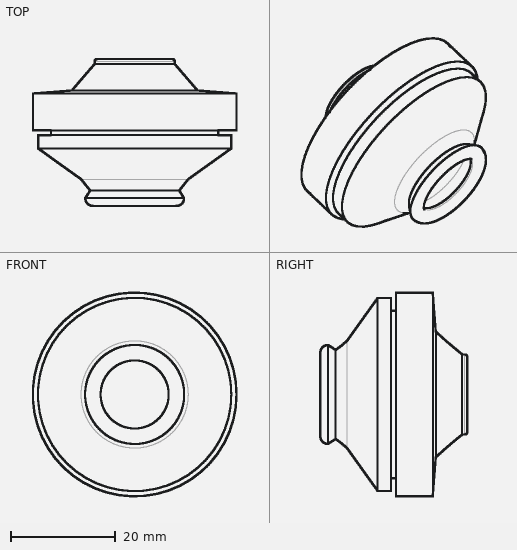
import cadquery as cq

bead_radius = 1.5
bead_center_radius = 8.0
bead_inner_radius = bead_center_radius - bead_radius
bead_outer_radius = bead_center_radius + bead_radius

neck_radius = 8.55
collar_radius = 10.25
front_rim_radius = 18.5
groove_radius = 16.03
rim_radius = 19.5
back_cone_radius = 12.0
cap_radius = 7.7
cap_fillet = 0.5

neck_y = 2.95
collar_y = 5.1
front_rim_y = 11.0
front_rim_width = 2.57
groove_width = 0.9
rim_width = 7.05
back_face_rise = 0.6
cap_height = 0.98
length = 28.1
groove_front_y = front_rim_y + front_rim_width
groove_back_y = groove_front_y + groove_width
rim_back_y = groove_back_y + rim_width
back_cone_y = rim_back_y + back_face_rise
cap_y = length - cap_height

throat_y = 2.0
flare_radius = 8.0
flare_y = 4.8
chamber_radius = 11.7
chamber_y = 9.85
floor_setback = 0.95
chamber_floor_y = rim_back_y - floor_setback


def make_body():
    """Revolve the half section, drawn in the XY plane, about the Y axis."""
    section = (
        cq.Workplane("XY")
        .moveTo(bead_inner_radius, bead_radius)
        .threePointArc((bead_center_radius, 0), (bead_outer_radius, bead_radius))
        .lineTo(neck_radius, neck_y)
        .lineTo(collar_radius, collar_y)
        .lineTo(front_rim_radius, front_rim_y)
        .lineTo(front_rim_radius, groove_front_y)
        .lineTo(groove_radius, groove_front_y)
        .lineTo(groove_radius, groove_back_y)
        .lineTo(rim_radius, groove_back_y)
        .lineTo(rim_radius, rim_back_y)
        .lineTo(back_cone_radius, back_cone_y)
        .lineTo(cap_radius, cap_y)
        .lineTo(cap_radius, length)
        .lineTo(0, length)
        .lineTo(0, chamber_floor_y)
        .lineTo(chamber_radius, chamber_floor_y)
        .lineTo(chamber_radius, chamber_y)
        .lineTo(flare_radius, flare_y)
        .lineTo(bead_inner_radius, throat_y)
        .close()
    )
    return section.revolve(360, (0, 0, 0), (0, 1, 0))


def round_cap(body):
    """Round the outer edge of the flat cap at the back end."""
    return body.faces(">Y").edges().fillet(cap_fillet)


result = round_cap(make_body())